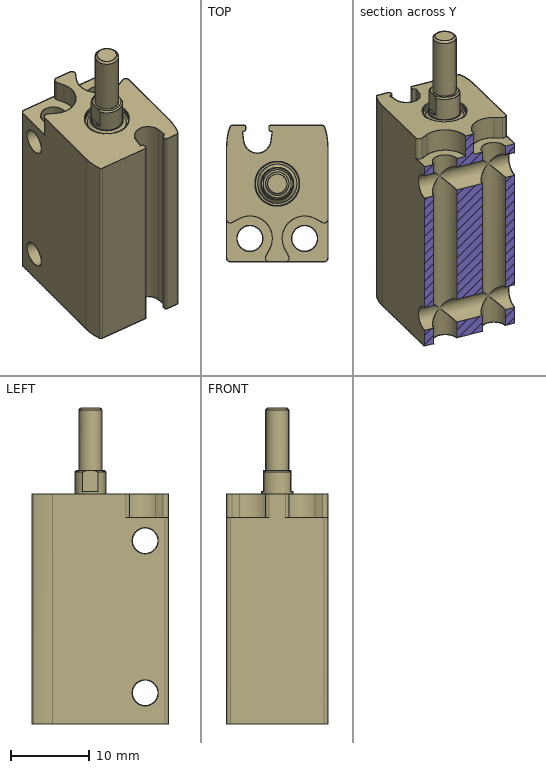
import cadquery as cq
import math

width = 13.0
depth = 17.5
height = 29.5
rod_to_front = 10.0
front_y = -rod_to_front
back_y = front_y + depth
edge_radius = 0.5

narrowing_length = 2.65
narrowing_radius = 7.0
back_edge_radius = 0.32

mount_diameter = 3.3
mount_inset = 3.0
mount_x = width / 2 - mount_inset
mount_y = front_y + mount_inset
pocket_radius = 2.88
lip_centre_inset = 5.45
pocket_depth = 3.0
cross_hole_heights = (4.0, 23.5)

slot_x = -2.55
slot_mouth_width = 2.95
slot_depth = 3.55
slot_bottom_radius = 1.75
slot_shoulder_width = 3.75
slot_shoulder_depth = 0.85
lip_depth = 0.7
lip_radius = 0.2

recess_diameter = 5.75
recess_wall_diameter = 5.6
recess_chamfer = 0.2
recess_depth = 0.65
lip_base_diameter = 5.02
lip_rim_diameter = 4.2
lip_height = 0.45

rod_diameter = 3.0
rod_tip_diameter = 2.47
rod_top = 40.5
collar_diameter = 4.0
collar_rise = 3.0
collar_chamfer = 0.2
collar_insertion = 3.0
flats_width = 3.5
flats_rise = 0.32


def cylinder_z(diameter, bottom, length, x=0, y=0):
    return cq.Workplane("XY", origin=(x, y, bottom)).circle(diameter / 2).extrude(length)


def cone_z(bottom_diameter, top_diameter, bottom, length):
    return (
        cq.Workplane("XY", origin=(0, 0, bottom))
        .circle(bottom_diameter / 2)
        .workplane(offset=length)
        .circle(top_diameter / 2)
        .loft()
    )


def make_block():
    half = width / 2
    side_end_y = back_y - narrowing_length

    def narrowed_half(y):
        rise = y - side_end_y
        return half - narrowing_radius + math.sqrt(narrowing_radius**2 - rise**2)

    middle_y = back_y - narrowing_length / 2
    back_half = narrowed_half(back_y)
    block = (
        cq.Workplane("XY")
        .moveTo(-half, front_y)
        .lineTo(half, front_y)
        .lineTo(half, side_end_y)
        .threePointArc((narrowed_half(middle_y), middle_y), (back_half, back_y))
        .lineTo(-back_half, back_y)
        .threePointArc((-narrowed_half(middle_y), middle_y), (-half, side_end_y))
        .close()
        .extrude(height)
    )
    block = block.edges("|Z").edges("<Y").fillet(edge_radius)
    return block.edges("|Z").edges(">Y").fillet(back_edge_radius)


def make_slot():
    """Slot whose walls converge from the shoulders into a round bottom."""
    mouth = slot_mouth_width / 2
    shoulder = slot_shoulder_width / 2
    lip_y = back_y - lip_depth
    shoulder_y = back_y - slot_shoulder_depth
    bottom_y = back_y - slot_depth
    centre_y = bottom_y + slot_bottom_radius

    shoulder_rise = shoulder_y - centre_y
    shoulder_distance = math.hypot(shoulder, shoulder_rise)
    tangent_angle = math.atan2(shoulder_rise, shoulder) - math.acos(slot_bottom_radius / shoulder_distance)
    tangent_x = slot_bottom_radius * math.cos(tangent_angle)
    tangent_y = centre_y + slot_bottom_radius * math.sin(tangent_angle)

    return (
        cq.Workplane("XY", origin=(slot_x, 0, 0))
        .moveTo(-mouth, back_y)
        .lineTo(-mouth, lip_y)
        .lineTo(-shoulder, shoulder_y)
        .lineTo(-tangent_x, tangent_y)
        .threePointArc((0, bottom_y), (tangent_x, tangent_y))
        .lineTo(shoulder, shoulder_y)
        .lineTo(mouth, lip_y)
        .lineTo(mouth, back_y)
        .close()
        .extrude(height)
    )


def round_slot_lips(body):
    """Round the two edges of each lip at the slot mouth."""
    for side in (-1, 1):
        edge_x = slot_x + side * slot_mouth_width / 2
        for edge_y in (back_y, back_y - lip_depth):
            edge = cq.selectors.NearestToPointSelector((edge_x, edge_y, height / 2))
            body = body.edges("|Z").edges(edge).fillet(lip_radius)
    return body


def make_left_pocket():
    """Open corner pocket: an arc around the hole, joined by tangent lines to a rounded lip at each face."""
    lip_x = lip_centre_inset - mount_inset
    lip_y = edge_radius - mount_inset
    centre_distance = math.hypot(lip_x, lip_y)
    diagonal = pocket_radius / math.sqrt(2)

    normal_angle = math.atan2(lip_y, lip_x) + math.acos((pocket_radius + edge_radius) / centre_distance)
    arc_x = pocket_radius * math.cos(normal_angle)
    arc_y = pocket_radius * math.sin(normal_angle)
    lip_end_x = lip_x - edge_radius * math.cos(normal_angle)
    lip_end_y = lip_y - edge_radius * math.sin(normal_angle)

    middle_angle = (normal_angle + math.pi + 1.5 * math.pi) / 2
    middle_x = lip_x + edge_radius * math.cos(middle_angle)
    middle_y = lip_y + edge_radius * math.sin(middle_angle)

    return (
        cq.Workplane("XY", origin=(-mount_x, mount_y, height - pocket_depth))
        .moveTo(-mount_inset, -mount_inset)
        .lineTo(lip_x, -mount_inset)
        .threePointArc((middle_x, middle_y), (lip_end_x, lip_end_y))
        .lineTo(arc_x, arc_y)
        .threePointArc((diagonal, diagonal), (arc_y, arc_x))
        .lineTo(lip_end_y, lip_end_x)
        .threePointArc((middle_y, middle_x), (-mount_inset, lip_x))
        .close()
        .extrude(pocket_depth)
    )


def make_rod_recess():
    """Chamfered round recess, less the conical seal lip standing on its floor."""
    floor_z = height - recess_depth
    recess = cylinder_z(recess_wall_diameter, floor_z, recess_depth)
    mouth = cone_z(recess_wall_diameter, recess_diameter, height - recess_chamfer, recess_chamfer)
    seal_lip = cone_z(lip_base_diameter, lip_rim_diameter, floor_z, lip_height)
    return recess.union(mouth).cut(seal_lip)


def make_housing():
    body = round_slot_lips(make_block().cut(make_slot()))
    left_pocket = make_left_pocket()
    for pocket in (left_pocket, left_pocket.mirror("YZ")):
        body = body.cut(pocket)
    for x in (-mount_x, mount_x):
        body = body.cut(cylinder_z(mount_diameter, 0, height, x, mount_y))
    for z in cross_hole_heights:
        cross_hole = (
            cq.Workplane("YZ", origin=(-width / 2, mount_y, z))
            .circle(mount_diameter / 2)
            .extrude(width)
        )
        body = body.cut(cross_hole)
    body = body.cut(make_rod_recess())
    rod_bore = cylinder_z(collar_diameter, height - collar_insertion, collar_insertion)
    return body.cut(rod_bore)


def make_rod():
    collar_length = collar_insertion + collar_rise
    collar_top = height + collar_rise
    collar = cylinder_z(collar_diameter, height - collar_insertion, collar_length)
    collar = collar.faces(">Z").chamfer(collar_chamfer)

    flats_length = collar_rise - flats_rise
    for side in (-1, 1):
        flat_cutter = (
            cq.Workplane("XY", origin=(side * (flats_width + collar_diameter) / 2, 0, height + flats_rise))
            .rect(collar_diameter, collar_diameter)
            .extrude(flats_length)
        )
        collar = collar.cut(flat_cutter)

    shaft = cylinder_z(rod_diameter, collar_top, rod_top - collar_top)
    shaft = shaft.faces(">Z").chamfer((rod_diameter - rod_tip_diameter) / 2)
    return collar.union(shaft)


housing = make_housing()
rod = make_rod()

result = cq.Compound.makeCompound([housing.val(), rod.val()])